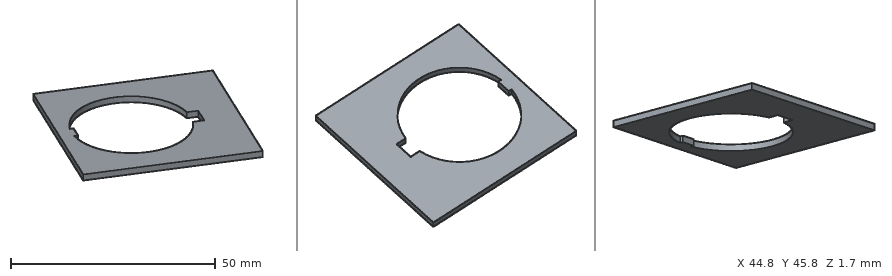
import cadquery as cq

plate_width = 44.8
plate_length = 45.75
plate_thickness = 1.7

opening_diameter = 30.3
opening_to_front_edge = 18.6

notch_width = 5.3
notch_reach = 17.8

tab_width = 4.0
tab_reach = 14.1


def make_plate():
    """Rectangular plate resting on Z = 0, with the opening's centre at the origin."""
    plate_centre_y = plate_length / 2 - opening_to_front_edge
    return (
        cq.Workplane("XY")
        .center(0, plate_centre_y)
        .rect(plate_width, plate_length)
        .extrude(plate_thickness)
    )


def make_strip(width, inner_y, outer_y):
    """Block of plate thickness, centred on X, between two Y positions."""
    return (
        cq.Workplane("XY")
        .center(0, (inner_y + outer_y) / 2)
        .rect(width, outer_y - inner_y)
        .extrude(plate_thickness)
    )


def make_opening():
    """Through opening: a disc with a notch added at +Y and the tab left standing at -Y."""
    disc = cq.Workplane("XY").circle(opening_diameter / 2).extrude(plate_thickness)
    notch = make_strip(notch_width, 0, notch_reach)
    tab = make_strip(tab_width, -opening_diameter / 2, -tab_reach)
    return disc.union(notch).cut(tab)


result = make_plate().cut(make_opening())